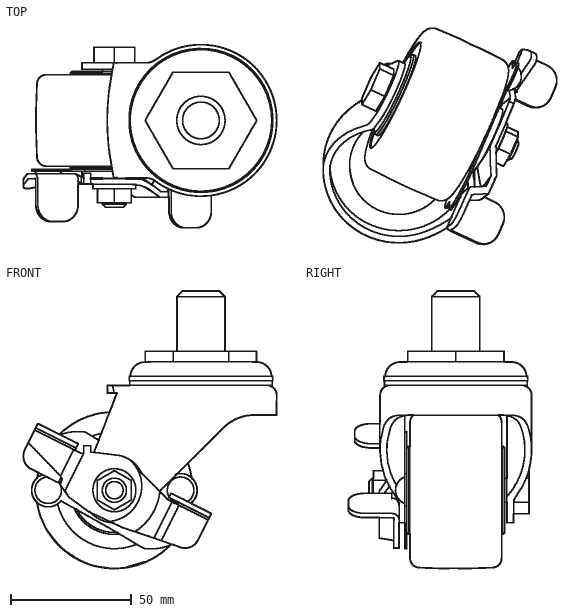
import cadquery as cq
import math


axle_x = -35.8
axle_radius = 5.0

wheel_radius = 32.5
wheel_half_width = 19.0
wheel_crown = 0.4
wheel_edge_round = 4.0
hub_radius = 18.3
hub_half_width = 20.3
hub_chamfer = 0.8
core_radius = 24.2
core_recess = 0.5

fork_radius = 31.4
fork_top = 43.4
fork_top_thickness = 3.2
fork_skirt_bottom = 31.1
fork_edge_round = 4.0
leg_outer_y = 23.9
leg_inner_y = 21.1
leg_end_radius = 13.5
leg_front_x = -34.8
leg_blend_radius = 6.0
skirt_blend_radius = 18.2
skirt_corner_x = 14.6
top_front_x = -38.8
top_front_radius = 104.0

stem_radius = 10.0
stem_top = 82.5
stem_chamfer = 2.4
hex_flats = 40.0
hex_top = 57.6
cap_top = 53.1
cap_radius = 29.3
cap_round = 6.2
flange_radius = 29.8
flange_top = 47.1
seat_radius = 29.6
seat_top = 45.3
neck_radius = 12.0
cup_radius = 20.4
cup_top = 39.2
cup_bottom = 33.0
cup_spacer_radius = 19.4
cup_round = 3.0

head_flats = 17.0
head_height = 6.4
nut_flats = 14.0
nut_height = 5.8
washer_radius = 8.9
washer_height = 1.9
bolt_tip_length = 1.9
bolt_tip_chamfer = 1.4

plate_thickness = 0.8
plate_lobe_radius = 21.0
plate_lobe_x = -15.1
plate_lobe_z = 3.3
plate_lobe_angles = (135, 108, 82)
plate_shoulder = (1.5, 16.0)
dome_offset = 27.4
ear_radius = 6.9
dome_radius = 5.5
dome_height = 3.9

pedal_tilt = 26.6
pedal_thickness = 2.2
pedal_inner_y = -24.2
pedal_outer_y = pedal_inner_y - pedal_thickness
left_tab_shift = 2.2
right_tab_shift = 0.7
left_end_u = -40.7
left_tab_bottom = -7.6

neck_top_u = -19.1
shoulder_left = (-15.3, 10.0)
hump_start = (-4.5, 13.8)
hump_middle = (1.5, 13.9)
hump_end = (6.6, 11.5)
hump_foot_u = 21.7
lower_edge = [(27.1, -9.9), (9.9, -12.3), (-5.6, -12.7), (-15.5, -11.0)]

left_ramp_start_u = -22.6
left_ramp_end_u = -18.2
return_start_u = 23.5
return_end_u = 26.7
return_offset = 2.4
right_end_u = 40.2
right_tab_bottom = -8.3
tab_corner_radius = 6.0
sheet_margin = 4.0
crest_height = 5.4
crest_inner_y = pedal_inner_y - crest_height
crest_outer_y = crest_inner_y - pedal_thickness
crest_u = 19.3
crest_mid_u = 20.5
dish_center_u = -3.8
dish_start_u = 11.7
ramp_offset = 0.8

tab_flange_length = 18.7
flange_thickness = 2.0
flange_corner_radius = 7.0
bend_inner_radius = 1.0
bend_outer_radius = bend_inner_radius + flange_thickness
left_flange_top = 10.5
right_flange_top = 9.4
left_flange_tip_y = -41.9
right_flange_tip_y = -44.5

fold_start_v = 2.4
fold_end_u = -21.8
fold_end_v = -5.6
fold_angle = -30.0
flap_reach = 15.0
flange_relief_u = 26.0

lug_size = (2.8, 4.6, 4.5)
lug_x = -48.4
lug_bottom = 14.0

FAR = 100.0
margin = 1.0


def y_cylinder(radius, y_start, y_end, x=axle_x):
    """Cylinder along Y between two y positions."""
    plane = cq.Plane(origin=(x, y_start, 0), xDir=(1, 0, 0), normal=(0, 1, 0))
    return cq.Workplane(plane).circle(radius).extrude(y_end - y_start)


def z_cylinder(radius, bottom, top):
    """Cylinder on the stem axis between two heights."""
    return cq.Workplane("XY").workplane(offset=bottom).circle(radius).extrude(top - bottom)


def across_corners(flats):
    """Corner-to-corner width of a hexagon."""
    return flats / math.cos(math.pi / 6)


def y_hexagon(flats, y_start, y_end):
    """Hexagonal prism along the axle, with one corner pointing up."""
    plane = cq.Plane(origin=(axle_x, y_start, 0), xDir=(0, 0, 1), normal=(0, 1, 0))
    return cq.Workplane(plane).polygon(6, across_corners(flats)).extrude(y_end - y_start)


def tangent_point(x, z, side):
    """Point where the line from (x, z) touches the round end of the fork leg."""
    to_point = math.atan2(z, x - axle_x)
    angle = to_point + side * math.acos(leg_end_radius / math.hypot(x - axle_x, z))
    return axle_x + leg_end_radius * math.cos(angle), leg_end_radius * math.sin(angle)


def make_stem():
    """Threaded stem, hexagon, bearing cap and the cup below the fork, as one piece."""
    neck = z_cylinder(neck_radius, cup_bottom, fork_top)
    cup = z_cylinder(cup_radius, cup_bottom, cup_top).faces("<Z").edges().fillet(cup_round)
    spacer = z_cylinder(cup_spacer_radius, cup_top, fork_top - fork_top_thickness)
    seat = z_cylinder(seat_radius, fork_top, seat_top)
    flange = z_cylinder(flange_radius, seat_top, flange_top)
    cap = z_cylinder(cap_radius, seat_top, cap_top).faces(">Z").edges().fillet(cap_round)
    hexagon = (
        cq.Workplane("XY").workplane(offset=cap_top).polygon(6, across_corners(hex_flats))
        .extrude(hex_top - cap_top)
    )
    rod = z_cylinder(stem_radius, hex_top, stem_top).faces(">Z").chamfer(stem_chamfer)
    return neck.union(cup).union(spacer).union(seat).union(flange).union(cap).union(hexagon).union(rod)


def fork_block(radius, half_width, bottom, top):
    """Round body about the stem axis joined to a straight block over the wheel."""
    height = top - bottom
    length = leg_end_radius - axle_x + margin
    round_part = z_cylinder(radius, bottom, top)
    straight = cq.Workplane("XY").box(length, 2 * half_width, height, centered=(False, True, False))
    return round_part.union(straight.translate((-length, 0, bottom)))


def make_fork():
    """Pressed fork: top plate, round skirt and two legs that carry the axle."""
    bottom = -leg_end_radius - margin
    under_top = fork_top - fork_top_thickness
    seam_x = -math.sqrt(fork_radius**2 - leg_outer_y**2)
    outer = fork_block(fork_radius, leg_outer_y, bottom, fork_top)
    seams = cq.selectors.BoxSelector((seam_x - margin, -FAR, bottom), (seam_x + margin, FAR, fork_top))
    outer = outer.edges("|Z").edges(seams).fillet(leg_blend_radius)
    outer = outer.faces(">Z").edges("not(<X)").fillet(fork_edge_round)
    wall = fork_radius - (leg_outer_y - leg_inner_y)
    inner = fork_block(wall, leg_inner_y, bottom, under_top)

    rear = tangent_point(skirt_corner_x, fork_skirt_bottom, -1)
    front = tangent_point(leg_front_x, under_top, 1)
    lowest = (axle_x, -leg_end_radius)
    side = (
        cq.Workplane("XZ").moveTo(leg_front_x, under_top).lineTo(fork_radius + margin, under_top)
        .lineTo(fork_radius + margin, fork_skirt_bottom).lineTo(skirt_corner_x, fork_skirt_bottom)
        .lineTo(*rear).threePointArc(lowest, front).close().extrude(FAR, both=True)
    )
    corner = cq.selectors.NearestToPointSelector((skirt_corner_x, 0, fork_skirt_bottom))
    side = side.edges("|Y").edges(corner).fillet(skirt_blend_radius)
    walls = outer.cut(inner).intersect(side)

    top = outer.intersect(
        cq.Workplane("XY").workplane(offset=under_top).center(top_front_x + top_front_radius, 0)
        .circle(top_front_radius).extrude(fork_top_thickness)
    )
    stem_hole = cq.Workplane("XY").circle(neck_radius).extrude(FAR)
    axle_hole = y_cylinder(axle_radius, -FAR, FAR)
    return walls.union(top).cut(stem_hole).cut(axle_hole)


def make_wheel():
    """Wheel with a slightly crowned tread, a recessed core ring and a raised hub."""
    tread_edge = wheel_radius - wheel_crown
    web_y = wheel_half_width - core_recess
    round_y = wheel_half_width - wheel_edge_round
    round_radius = tread_edge - wheel_edge_round
    hub_rim = hub_radius - hub_chamfer
    hub_shoulder = hub_half_width - hub_chamfer
    arc_inset = wheel_edge_round * (1 - math.sqrt(0.5))
    arc_y = wheel_half_width - arc_inset
    arc_radius = tread_edge - arc_inset
    section = (
        cq.Workplane("XY").moveTo(-hub_half_width, axle_radius).lineTo(-hub_half_width, hub_rim)
        .lineTo(-hub_shoulder, hub_radius).lineTo(-web_y, hub_radius).lineTo(-web_y, core_radius)
        .lineTo(-wheel_half_width, core_radius).lineTo(-wheel_half_width, round_radius)
        .threePointArc((-arc_y, arc_radius), (-round_y, tread_edge))
        .threePointArc((0, wheel_radius), (round_y, tread_edge))
        .threePointArc((arc_y, arc_radius), (wheel_half_width, round_radius))
        .lineTo(wheel_half_width, core_radius).lineTo(web_y, core_radius).lineTo(web_y, hub_radius)
        .lineTo(hub_shoulder, hub_radius).lineTo(hub_half_width, hub_rim)
        .lineTo(hub_half_width, axle_radius).close()
    )
    wheel = section.revolve(360, (0, 0, 0), (1, 0, 0))
    return wheel.rotate((0, 0, 0), (0, 0, 1), 90).translate((axle_x, 0, 0))


def make_axle():
    """Axle bolt with its head, washer and nut, as one piece."""
    washer_end = pedal_outer_y - washer_height
    nut_end = washer_end - nut_height
    tip = nut_end - bolt_tip_length
    shank = y_cylinder(axle_radius, tip, leg_outer_y).faces("<Y").chamfer(bolt_tip_chamfer)
    head = y_hexagon(head_flats, leg_outer_y, leg_outer_y + head_height)
    washer = y_cylinder(washer_radius, washer_end, pedal_outer_y)
    nut = y_hexagon(nut_flats, nut_end, washer_end)
    return shank.union(head).union(washer).union(nut)


def make_brake_plate():
    """Thin brake plate between hub and fork leg, with two lobes and two domed ears."""
    inner_y = -hub_half_width
    outer_y = inner_y - plate_thickness

    def lobe(degrees):
        angle = math.radians(degrees)
        return (
            plate_lobe_x + plate_lobe_radius * math.cos(angle),
            plate_lobe_z + plate_lobe_radius * math.sin(angle),
        )

    def opposite(point):
        return -point[0], -point[1]

    start, middle, end = (lobe(angle) for angle in plate_lobe_angles)
    plane = cq.Plane(origin=(axle_x, inner_y, 0), xDir=(1, 0, 0), normal=(0, -1, 0))
    plate = (
        cq.Workplane(plane).moveTo(*start).threePointArc(middle, end)
        .lineTo(*plate_shoulder).lineTo(-start[0], 0)
        .lineTo(*opposite(start)).threePointArc(opposite(middle), opposite(end))
        .lineTo(*opposite(plate_shoulder)).lineTo(start[0], 0).close().extrude(plate_thickness)
    )
    sphere_radius = (dome_radius**2 + dome_height**2) / (2 * dome_height)
    for side in (-1, 1):
        x = axle_x + side * dome_offset
        ear = y_cylinder(ear_radius, outer_y, inner_y, x)
        sphere = cq.Workplane("XY").sphere(sphere_radius)
        sphere = sphere.translate((x, outer_y - dome_height + sphere_radius, 0))
        dome = sphere.intersect(y_cylinder(ear_radius, outer_y - dome_height, outer_y, x))
        plate = plate.union(ear).union(dome)
    return plate.cut(y_cylinder(axle_radius, -FAR, FAR))


def pedal_outline():
    """Face shape of the pedal without its flanges, as a prism along Y."""
    left_top = left_flange_top - bend_outer_radius
    right_top = right_flange_top - bend_outer_radius
    prism = (
        cq.Workplane("XZ").moveTo(left_end_u, left_top).lineTo(neck_top_u, left_top)
        .lineTo(*shoulder_left).lineTo(*hump_start).threePointArc(hump_middle, hump_end)
        .lineTo(hump_foot_u, right_top).lineTo(right_end_u, right_top)
        .lineTo(right_end_u, right_tab_bottom)
        .polyline(lower_edge, includeCurrent=True).lineTo(fold_end_u, left_tab_bottom)
        .lineTo(left_end_u, left_tab_bottom).close().extrude(FAR, both=True)
    )
    for corner in ((left_end_u, 0, left_tab_bottom), (right_end_u, 0, right_tab_bottom)):
        nearest = cq.selectors.NearestToPointSelector(corner)
        prism = prism.edges("|Y").edges(nearest).fillet(tab_corner_radius)
    return prism


def pedal_left_sheet():
    """Sheet with the low left tab and the flat middle, up to the axle."""
    start_u = left_end_u - sheet_margin
    left_inner = pedal_inner_y + left_tab_shift
    left_outer = left_inner - pedal_thickness
    section = (
        cq.Workplane("XY").moveTo(start_u, left_inner).lineTo(left_ramp_start_u + ramp_offset, left_inner)
        .lineTo(left_ramp_end_u + ramp_offset, pedal_inner_y).lineTo(0, pedal_inner_y)
        .lineTo(0, pedal_outer_y).lineTo(left_ramp_end_u, pedal_outer_y)
        .lineTo(left_ramp_start_u, left_outer).lineTo(start_u, left_outer).close()
    )
    return section.extrude(FAR, both=True)


def pedal_dish():
    """Conical ramp from the flat middle of the sheet out to the crest."""
    section = (
        cq.Workplane("XY").moveTo(dish_center_u, pedal_inner_y).lineTo(dish_start_u, pedal_inner_y)
        .lineTo(crest_u, crest_inner_y).lineTo(FAR, crest_inner_y).lineTo(FAR, crest_outer_y)
        .lineTo(crest_u - ramp_offset, crest_outer_y).lineTo(dish_start_u - ramp_offset, pedal_outer_y)
        .lineTo(dish_center_u, pedal_outer_y).close()
    )
    dish = section.revolve(360, (dish_center_u, 0, 0), (dish_center_u, 1, 0))
    band = cq.Workplane("XY").box(crest_mid_u, FAR, FAR, centered=(False, True, True))
    return dish.intersect(band)


def pedal_right_sheet():
    """Crest, steep return and right tab."""
    right_inner = pedal_inner_y + right_tab_shift
    right_outer = right_inner - pedal_thickness
    section = (
        cq.Workplane("XY").moveTo(crest_mid_u, crest_inner_y)
        .lineTo(return_start_u - return_offset, crest_inner_y)
        .lineTo(return_end_u - return_offset, right_inner).lineTo(right_end_u, right_inner)
        .lineTo(right_end_u, right_outer).lineTo(return_end_u, right_outer)
        .lineTo(return_start_u, crest_outer_y).lineTo(crest_mid_u, crest_outer_y).close()
    )
    return section.extrude(FAR, both=True)


def tab_flange(start_u, top, inner_y, tip_y):
    """Foot rest bent outward from the upper edge of a tab, with rounded tip corners."""
    outer_y = inner_y - flange_thickness
    below = top - bend_outer_radius
    outer_mid = bend_outer_radius * (1 - math.sqrt(0.5))
    inner_mid = flange_thickness + bend_inner_radius * (1 - math.sqrt(0.5))
    flange = (
        cq.Workplane("YZ").workplane(offset=start_u).moveTo(inner_y, below)
        .threePointArc((inner_y - outer_mid, top - outer_mid), (inner_y - bend_outer_radius, top))
        .lineTo(tip_y, top).lineTo(tip_y, top - flange_thickness)
        .lineTo(inner_y - bend_outer_radius, top - flange_thickness)
        .threePointArc((inner_y - inner_mid, top - inner_mid), (outer_y, below)).close()
        .extrude(tab_flange_length)
    )
    return flange.faces("<Y").edges("|Z").fillet(flange_corner_radius)


def make_pedal():
    """Brake pedal, built in its own frame and then tilted about the axle."""
    outline = pedal_outline()
    left_sheet = pedal_left_sheet()

    left_inner = pedal_inner_y + left_tab_shift
    fold_start = (left_end_u - sheet_margin, fold_start_v)
    fold_end = (fold_end_u, fold_end_v)
    corner = (
        cq.Workplane("XZ").moveTo(*fold_start).lineTo(*fold_end).lineTo(fold_end[0], -FAR)
        .lineTo(fold_start[0], -FAR).close().extrude(FAR, both=True)
    )
    flap_blank = left_sheet.intersect(corner).intersect(cq.Workplane("XY").box(FAR, FAR, 2 * flap_reach))
    flap = flap_blank.rotate(
        (fold_start[0], left_inner, fold_start[1]), (fold_end[0], left_inner, fold_end[1]), fold_angle
    )
    sheet = left_sheet.cut(corner).union(flap).union(pedal_dish()).union(pedal_right_sheet())
    pedal = sheet.intersect(outline)

    left_flange = tab_flange(left_end_u, left_flange_top, left_inner, left_flange_tip_y)
    right_inner = pedal_inner_y + right_tab_shift
    right_flange = tab_flange(
        right_end_u - tab_flange_length, right_flange_top, right_inner, right_flange_tip_y
    )
    relief = cq.Workplane("XY").box(FAR, FAR, FAR, centered=(False, False, True))
    relief = relief.translate((flange_relief_u - FAR, right_inner - bend_outer_radius, 0))
    right_flange = right_flange.cut(relief)
    pedal = pedal.union(left_flange).union(right_flange)

    pedal = pedal.rotate((0, 0, 0), (0, 1, 0), pedal_tilt).translate((axle_x, 0, 0))

    lug = cq.Workplane("XY").box(*lug_size, centered=(False, False, False))
    lug = lug.translate((lug_x, pedal_outer_y, lug_bottom))
    return pedal.union(lug).cut(y_cylinder(axle_radius, -FAR, FAR))


stem = make_stem()
fork = make_fork()
wheel = make_wheel()
axle = make_axle()
brake_plate = make_brake_plate()
pedal = make_pedal()

result = cq.Compound.makeCompound(
    [body.solids().val() for body in (stem, fork, wheel, axle, brake_plate, pedal)]
)